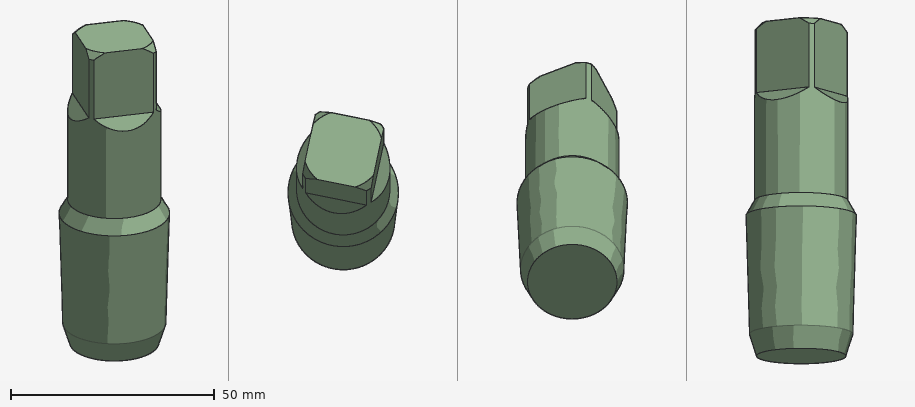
import cadquery as cq

total_height = 82.6

plug_height = 35.0
plug_top_radius = 13.59
plug_lead_radius = 12.7
plug_tip_radius = 11.0
lead_height = 5.45

shank_radius = 11.5
shoulder_height = 3.7

square_side = 17.2
square_base_z = 65.1
corner_chamfer = 1.65
runout_depth = shank_radius - square_side / 2
runout_bottom_z = square_base_z - runout_depth


def make_plug():
    """Plug: a slight taper above a steeper lead-in cone."""
    profile = [
        (0, 0),
        (plug_tip_radius, 0),
        (plug_lead_radius, lead_height),
        (plug_top_radius, plug_height),
        (0, plug_height),
    ]
    return cq.Workplane("XZ").polyline(profile).close().revolve(360, (0, 0), (0, 1))


def make_round_shank():
    """Turned blank of the shank: shoulder cone, cylinder and chamfered top."""
    profile = [
        (0, plug_height),
        (plug_top_radius, plug_height),
        (shank_radius, plug_height + shoulder_height),
        (shank_radius, total_height - corner_chamfer),
        (shank_radius - corner_chamfer, total_height),
        (0, total_height),
    ]
    return cq.Workplane("XZ").polyline(profile).close().revolve(360, (0, 0), (0, 1))


def make_flat_cutter():
    """Material beyond one flat of the square, with its 45 degree run-out below."""
    flat_distance = square_side / 2
    profile = [
        (flat_distance, total_height),
        (flat_distance, square_base_z),
        (shank_radius, runout_bottom_z),
        (shank_radius, total_height),
    ]
    return cq.Workplane("XZ").polyline(profile).close().extrude(shank_radius, both=True)


def make_shank():
    """Shank: the turned blank with four flats forming the square drive."""
    shank = make_round_shank()
    cutter = make_flat_cutter()
    for angle in (0, 90, 180, 270):
        shank = shank.cut(cutter.rotate((0, 0, 0), (0, 0, 1), angle))
    return shank


plug = make_plug()
shank = make_shank()

result = cq.Compound.makeCompound([plug.val(), *shank.vals()])